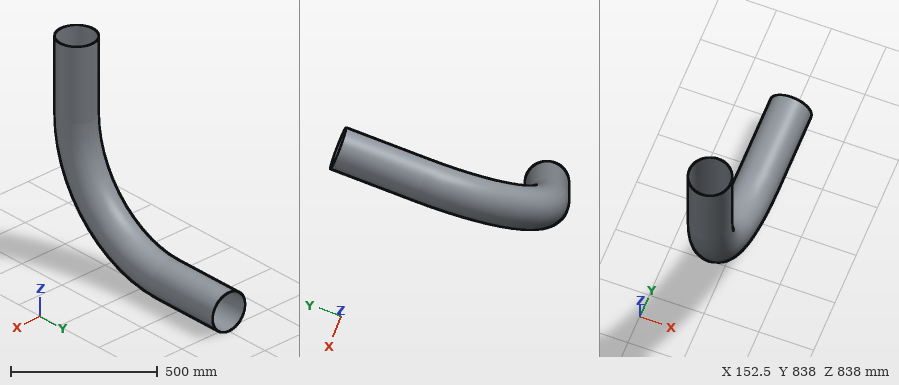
import cadquery as cq

overall_length = 838.0
outer_diameter = 152.5
inner_diameter = 149.0
bend_radius = 3 * outer_diameter
leg_length = overall_length - bend_radius - outer_diameter / 2


def tube_section(plane, origin):
    """Return the ring-shaped tube section on a plane at the given centre."""
    return (
        cq.Workplane(plane, origin=origin)
        .circle(outer_diameter / 2)
        .circle(inner_diameter / 2)
    )


vertical_leg = tube_section("XY", (0, 0, bend_radius)).extrude(leg_length)

bend = tube_section("XY", (0, 0, bend_radius)).revolve(
    90, (0, bend_radius, 0), (1, bend_radius, 0)
)

horizontal_leg = tube_section("XZ", (0, bend_radius, 0)).extrude(-leg_length)

result = vertical_leg.union(bend).union(horizontal_leg)